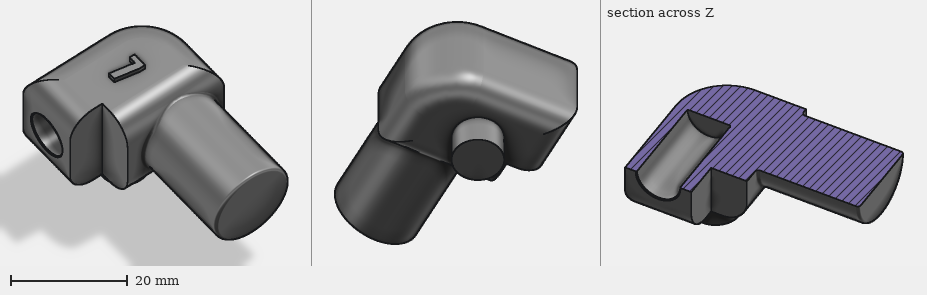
import cadquery as cq

body_length = 20.0
body_width = 28.0
body_height = 20.0
corner_radius = 10.0
edge_radius = 5.0
arm_width = 13.0
notch_depth = 7.0

tube_radius = 8.0
tube_end_x = 40.0
tube_center_y = 18.5
tube_end_fillet = 0.6
tube_root_fillet = 0.6

pin_diameter = 9.0
pin_length = 6.0
pin_x = 10.0
pin_y = 14.0

hole_diameter = 8.4
hole_depth = 18.0
hole_chamfer = 0.2

mark_height = 1.0
mark_outline = [
    (8.7, 17.4),
    (11.6, 17.4),
    (11.6, 16.25),
    (10.7, 11.45),
    (9.2, 11.45),
    (10.1, 16.3),
    (8.7, 16.3),
]

mid_z = body_height / 2
hole_x = arm_width / 2


def make_body():
    block = cq.Workplane("XY").box(body_length, body_width, body_height, centered=False)
    block = block.edges("|Z and <X and >Y").fillet(corner_radius)
    block = block.faces("<Z or >Z").edges().fillet(edge_radius)
    notch = (
        cq.Workplane("XY")
        .box(body_length - arm_width, notch_depth, body_height, centered=False)
        .translate((arm_width, 0, 0))
    )
    return block.cut(notch)


def add_tube(body):
    tube_start_x = body_length / 2
    tube = (
        cq.Workplane("YZ", origin=(tube_start_x, tube_center_y, mid_z))
        .circle(tube_radius)
        .extrude(tube_end_x - tube_start_x)
        .faces(">X")
        .edges()
        .fillet(tube_end_fillet)
    )
    joined = body.union(tube)
    reach = tube_radius + tube_root_fillet
    root_box = cq.selectors.BoxSelector(
        (arm_width, tube_center_y - reach, mid_z - reach),
        (body_length + tube_root_fillet, tube_center_y + reach, mid_z + reach),
        boundingbox=True,
    )
    return joined.edges(root_box).fillet(tube_root_fillet)


def make_pin():
    overlap = edge_radius / 2
    return (
        cq.Workplane("XY", origin=(pin_x, pin_y, -pin_length))
        .circle(pin_diameter / 2)
        .extrude(pin_length + overlap)
    )


def make_mark():
    return cq.Workplane("XY", origin=(0, 0, body_height)).polyline(mark_outline).close().extrude(mark_height)


def make_hole():
    hole_radius = hole_diameter / 2
    bore = cq.Workplane("XZ", origin=(hole_x, 0, mid_z)).circle(hole_radius).extrude(-hole_depth)
    mouth = cq.Solid.makeCone(
        hole_radius + hole_chamfer,
        hole_radius,
        hole_chamfer,
        pnt=cq.Vector(hole_x, 0, mid_z),
        dir=cq.Vector(0, 1, 0),
    )
    return bore.union(cq.Workplane(mouth))


result = add_tube(make_body()).union(make_pin()).union(make_mark()).cut(make_hole())